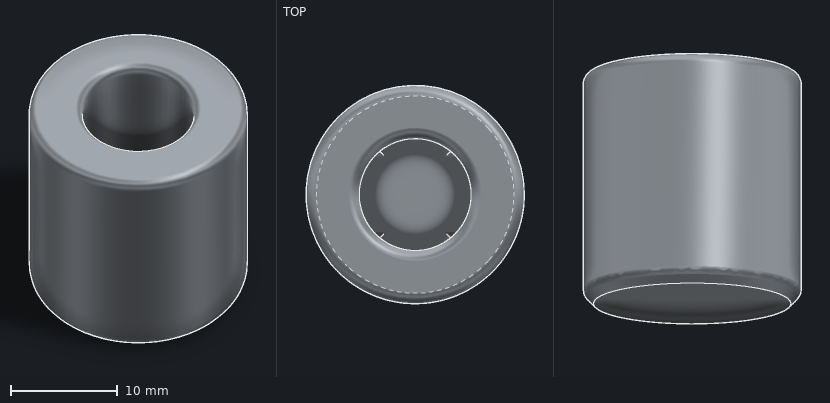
import cadquery as cq

height = 22.0
outer_diameter = 20.5
bore_diameter = 10.5
edge_size = 1.0
floor_thickness = 1.98

recess_start_x = 2.8
recess_start_y = 3.55

bore_radius = bore_diameter / 2
bore_depth = height - floor_thickness


def make_body():
    """Cylinder with a rounded top rim and a blended chamfer at the bottom."""
    body = cq.Workplane("XY").circle(outer_diameter / 2).extrude(height)
    body = body.faces(">Z").edges().fillet(edge_size)
    body = body.faces("<Z").edges().chamfer(edge_size)
    upper_chamfer_edge = cq.selectors.BoxSelector(
        (-outer_diameter, -outer_diameter, edge_size / 2),
        (outer_diameter, outer_diameter, edge_size * 1.5),
        boundingbox=True,
    )
    return body.edges(upper_chamfer_edge).fillet(edge_size)


def cut_bore(body):
    """Blind bore from the top, with a rounded mouth."""
    bored = body.faces(">Z").workplane().hole(bore_diameter, bore_depth)
    mouth = cq.selectors.RadiusNthSelector(0)
    return bored.faces(">Z").edges(mouth).fillet(edge_size)


def rolled_edge_cutter(plane, start):
    """Bar beside a floor edge that rolls down through a quarter circle beginning at start."""
    wall = start + edge_size
    wall_foot = floor_thickness - edge_size
    return (
        cq.Workplane(plane)
        .moveTo(start, floor_thickness)
        .radiusArc((wall, wall_foot), edge_size)
        .lineTo(bore_radius, wall_foot)
        .lineTo(bore_radius, floor_thickness)
        .close()
        .extrude(bore_radius, both=True)
    )


def cut_corner_recesses(body):
    """Four mirrored recesses with mitred rolled edges, kept within the circle of the bore."""
    bore_column = cq.Workplane("XY").circle(bore_radius).extrude(height)
    recess = (
        rolled_edge_cutter("XZ", recess_start_x)
        .intersect(rolled_edge_cutter("YZ", recess_start_y))
        .intersect(bore_column)
    )
    recess_pair = recess.union(recess.mirror("YZ"))
    return body.cut(recess_pair).cut(recess_pair.mirror("XZ"))


result = cut_corner_recesses(cut_bore(make_body()))